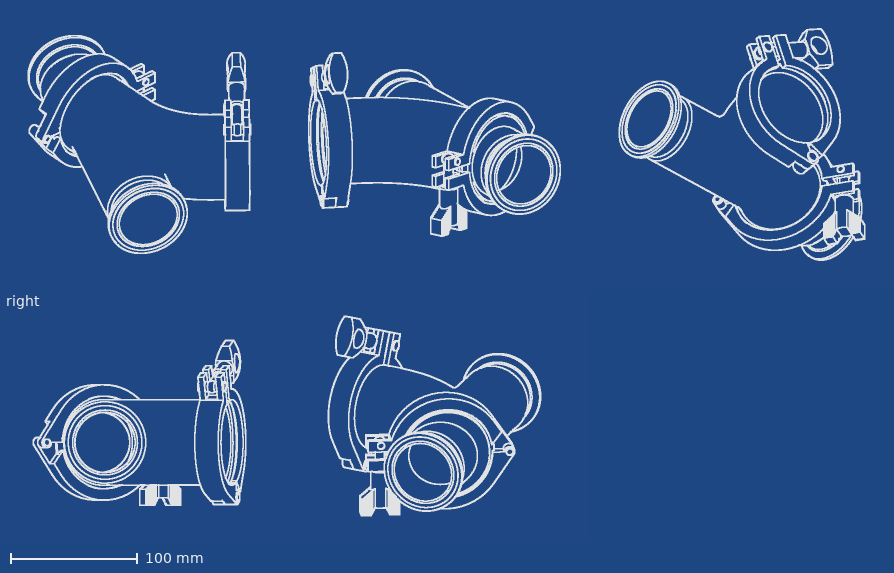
import cadquery as cq
import math


overall_length = 216.8
outlet_shift = 4.3
tube_radius = 27.8
neck_radius = 50.7 / 2
bore_radius = 47.5 / 2

rim_radius = 32.0
rim_width = 2.8
rim_taper_end = 4.8
neck_foot_radius = 26.5
neck_start = 5.9
neck_end = 17.8
tube_start = 20.0
seal_groove_radius = 27.3
seal_groove_round = 1.7

branch_angle = 24.5
elbow_sweep = 50.5
elbow_radius = 84.1
branch_radius = 67.5 / 2
branch_bore_radius = 64.0 / 2
joint_x = 59.0
joint_y = 0.5
branch_length = 46.5
exit_length = 21.5
outlet_start_x = 78.0
crotch_fillet = 6.5

flange_radius = 77.2 / 2
flange_rim_width = 2.5
flange_foot_width = 4.8

mitre_x = 45.0
mitre_angle = 18.0
reducer_radius = 68.5 / 2
reducer_end = 8.7

half_gap = 3.5
slot_width = 9.5
slot_inset = 1.0
eye_diameter = 9.5
bolt_offset = 8.7
shank_length = 34.7
pin_overhang = 1.0
barrel_chamfer = 1.5

wing_span = 30.4
wing_thickness = 11.7
wing_top = 27.5
wing_shoulder = 36.9
wing_bottom = 49.6
wing_barrel_radius = 7.2
wing_barrel_end = 43.5
wing_root = 4.3
wing_notch = 7.5
rib_count = 6
rib_pitch = 1.5
rib_groove = 0.5
first_rib = 6.3

knob_length = 31.2
knob_thickness = 14.7
knob_edge = 6.5
knob_end = 54.5
knob_full = 41.0
knob_neck = 32.7
knob_barrel_radius = 6.3
knob_hole_diameter = 15.0
knob_hole_y = 44.2

joint_clamp = {
    "outer": 45.5,
    "lip": 73.0 / 2,
    "width": 17.0,
    "hinge_x": 50.0,
    "knuckle": 4.1,
    "stop_line": [(-35.5, 5.6), (-46.8, 20.8)],
    "ear_end": 62.0,
    "ear_top": 12.5,
    "pin": 5.5,
    "bolt_x": 52.0,
    "shank": 7.2,
}
exit_clamp = {
    "outer": 42.3,
    "lip": branch_radius,
    "width": 19.0,
    "hinge_x": 46.0,
    "knuckle": 5.9,
    "stop_line": [(-35.1, 2.8), (-49.2, 13.2)],
    "ear_end": 59.8,
    "ear_top": 13.0,
    "pin": 8.0,
    "bolt_x": 50.0,
    "shank": 7.5,
}
exit_roll = 20.4


def direction(angle):
    """Horizontal unit vector at an angle from +X, in degrees."""
    return cq.Vector(math.cos(math.radians(angle)), math.sin(math.radians(angle)), 0)


def section_plane(centre, angle):
    """Plane square to a horizontal axis; local x points left of the axis and local y points up."""
    return cq.Plane(origin=centre, xDir=direction(angle + 90), normal=direction(angle))


exit_angle = branch_angle + elbow_sweep
joint_centre = cq.Vector(joint_x, joint_y, 0)
elbow_start = joint_centre + direction(branch_angle) * branch_length
elbow_centre = elbow_start + direction(branch_angle + 90) * elbow_radius
elbow_end = elbow_centre - direction(exit_angle + 90) * elbow_radius
exit_centre = elbow_end + direction(exit_angle) * exit_length




def ferrule_tube(length):
    """Solid ferrule and tube along +X, with the ferrule face at X = 0."""
    profile = [
        (0, 0),
        (0, rim_radius),
        (rim_width, rim_radius),
        (rim_taper_end, neck_foot_radius),
        (neck_start, neck_radius),
        (neck_end, neck_radius),
        (tube_start, tube_radius),
        (length, tube_radius),
        (length, 0),
    ]
    return cq.Workplane("XY").polyline(profile).close().revolve(360, (0, 0), (1, 0))


def ferrule_void(length):
    """Straight bore of a ferrule and its tube, with a half-round seal groove in the ferrule face."""
    bore = cq.Workplane("YZ").circle(bore_radius).extrude(length)
    seal = cq.Solid.makeTorus(seal_groove_radius, seal_groove_round, cq.Vector(0, 0, 0), cq.Vector(1, 0, 0))
    return bore.union(cq.Workplane(seal))


def at_outlet(shape):
    """Turn an inlet-end shape round to face +X on the outlet axis."""
    return shape.rotate((0, 0, 0), (0, 0, 1), 180).translate((overall_length, outlet_shift, 0))


def branch_pipe(radius):
    """Solid branch: straight, elbow, straight."""
    first = cq.Workplane(section_plane(joint_centre, branch_angle)).circle(radius).extrude(branch_length)
    elbow = cq.Workplane(section_plane(elbow_start, branch_angle)).circle(radius)
    elbow = elbow.revolve(elbow_sweep, (elbow_radius, 0), (elbow_radius, 1))
    last = cq.Workplane(section_plane(elbow_end, exit_angle)).circle(radius).extrude(exit_length)
    return first.union(elbow).union(last)


def flange(centre, angle, foot_radius):
    """Flange with its face at the centre, tapering to its foot in the direction of the angle."""
    profile = [
        (0, 0),
        (flange_radius, 0),
        (flange_radius, flange_rim_width),
        (foot_radius, flange_foot_width),
        (0, flange_foot_width),
    ]
    plane = cq.Plane(origin=centre, xDir=(0, 0, 1), normal=direction(angle + 90))
    return cq.Workplane(plane).polyline(profile).close().revolve(360, (0, 0), (0, 1))


def make_housing():
    """Branch and outlet tube blended together, hollow, with a flange at each end of the branch."""
    outlet_length = overall_length - outlet_start_x
    housing = branch_pipe(branch_radius).union(at_outlet(ferrule_tube(outlet_length)))
    housing = housing.edges("%BSPLINE").fillet(crotch_fillet)
    housing = housing.union(flange(joint_centre, branch_angle, branch_radius))
    housing = housing.union(flange(exit_centre, exit_angle + 180, branch_radius))
    return housing.cut(branch_pipe(branch_bore_radius)).cut(at_outlet(ferrule_void(outlet_length)))


def mitre_plane():
    return section_plane((mitre_x, 0, 0), mitre_angle)


def mitred(tube):
    """Cut away the part of a tube beyond the mitre."""
    size = 2 * overall_length
    return tube.cut(cq.Workplane(mitre_plane()).rect(size, size).extrude(size))


def reducer(tube, joint):
    """Solid loft from the mitred tube's ellipse to a round joint, given the two radii."""
    joint_plane = section_plane(joint_centre - direction(branch_angle) * reducer_end, branch_angle)
    ellipse = cq.Workplane(mitre_plane()).ellipse(tube / math.cos(math.radians(mitre_angle)), tube)
    circle = cq.Workplane(joint_plane).circle(joint)
    loft = cq.Solid.makeLoft([ellipse.wire().val(), circle.wire().val()], True)
    return cq.Workplane(joint_plane).circle(joint).extrude(reducer_end).union(cq.Workplane(loft))


def make_inlet():
    """Ferrule and tube, mitred into a reducer that ends in the joint flange."""
    inlet = mitred(ferrule_tube(joint_x)).union(reducer(tube_radius, reducer_radius))
    inlet = inlet.union(flange(joint_centre, branch_angle + 180, reducer_radius))
    return inlet.cut(mitred(ferrule_void(joint_x))).cut(reducer(bore_radius, branch_bore_radius))




def centred(sketch, thickness):
    """Extrude an XY sketch to a thickness centred on z = 0."""
    return sketch.extrude(thickness / 2, both=True)


def clamp_cavity(clamp):
    """Inside of the clamp, with the tapered groove that grips the flange pair."""
    lip = clamp["lip"]
    side = clamp["width"] / 2
    profile = [
        (0, -side),
        (lip, -side),
        (lip, -flange_foot_width),
        (flange_radius, -flange_rim_width),
        (flange_radius, flange_rim_width),
        (lip, flange_foot_width),
        (lip, side),
        (0, side),
    ]
    return cq.Workplane("XZ").polyline(profile).close().revolve(360, (0, 0), (0, 1))


def hinge_arm(clamp):
    """Arm that leaves the ring along a tangent and ends in the round hinge knuckle."""
    outer, hinge_x, knuckle = clamp["outer"], clamp["hinge_x"], clamp["knuckle"]
    along = (outer - knuckle) / hinge_x
    across = math.sqrt(1 - along**2)
    outline = [
        (-clamp["lip"], 0),
        (-outer * along, outer * across),
        (-hinge_x - knuckle * along, knuckle * across),
        (-hinge_x, 0),
    ]
    arm = centred(cq.Workplane("XY").polyline(outline).close(), clamp["width"])
    return arm.union(centred(cq.Workplane("XY").center(-hinge_x, 0).circle(knuckle), clamp["width"]))


def hinge_stop(clamp):
    """Space that the other half's arm takes on the -z side of the hinge."""
    inner, outer = clamp["stop_line"]
    beyond = -2 * clamp["outer"]
    below = -clamp["knuckle"] - half_gap
    outline = [inner, outer, (beyond, outer[1]), (beyond, below), (inner[0], below)]
    return cq.Workplane("XY").polyline(outline).close().extrude(-clamp["width"])


def clamp_half(clamp):
    """Clamp half on the +y side, with its hinge arm on the +z side."""
    outer, width = clamp["outer"], clamp["width"]
    half_space = cq.Workplane("XY").box(2 * outer, outer, width).translate((0, half_gap + outer / 2, 0))
    ring = centred(cq.Workplane("XY").circle(outer), width).intersect(half_space)
    ear_size = (clamp["ear_end"] - flange_radius, clamp["ear_top"] - half_gap, width)
    ear = cq.Workplane("XY").box(*ear_size, centered=(False, False, True))
    ear = ear.translate((flange_radius, half_gap, 0))
    slot = cq.Workplane("XY").box(outer, 2 * outer, slot_width, centered=(False, True, True))
    slot = slot.translate((outer - slot_inset, 0, 0))
    half = ring.union(hinge_arm(clamp)).cut(hinge_stop(clamp))
    return half.union(ear).cut(slot).cut(clamp_cavity(clamp))


def cross_pin(clamp, x, y):
    """Pin along z with both ends standing proud of the clamp."""
    return centred(cq.Workplane("XY").center(x, y).circle(clamp["pin"] / 2), clamp["width"] + 2 * pin_overhang)


def make_upper_half(clamp):
    """Half that carries the eye bolt, with holes for the bolt pin and the hinge pin."""
    half = clamp_half(clamp).cut(cross_pin(clamp, -clamp["hinge_x"], 0))
    return half.cut(cross_pin(clamp, clamp["bolt_x"], bolt_offset))


def make_lower_half(clamp):
    """Same half turned over, with the hinge pin fixed in its knuckle."""
    half = clamp_half(clamp).rotate((0, 0, 0), (1, 0, 0), 180)
    return half.union(cross_pin(clamp, -clamp["hinge_x"], 0))


def make_eye_bolt(clamp):
    """Round eye on its cross pin in the upper ear, with the shank along -y."""
    eye_centre = (clamp["bolt_x"], bolt_offset, 0)
    shank = cq.Workplane("XZ", origin=eye_centre).circle(clamp["shank"] / 2).extrude(shank_length)
    eye = cq.Workplane("XY").sphere(eye_diameter / 2).translate(eye_centre)
    return shank.union(eye).union(cross_pin(clamp, clamp["bolt_x"], bolt_offset))


def nut_barrel(clamp, radius, end):
    """Round barrel on the shank axis, from the lower ear down to y = -end."""
    start = cq.Workplane("XZ", origin=(0, -clamp["ear_top"], 0))
    return start.circle(radius).extrude(end - clamp["ear_top"]).faces(">Y").chamfer(barrel_chamfer)


def on_shank(nut, clamp):
    """Move a nut from the y axis to the shank and bore it to fit."""
    return nut.translate((clamp["bolt_x"], 0, 0)).cut(make_eye_bolt(clamp))


def wing():
    """Wing on the +x side, with grip grooves on both faces."""
    tip = wing_span / 2
    sketch = cq.Workplane("XY").moveTo(0, -wing_top).lineTo(wing_root, -wing_top)
    sketch = sketch.lineTo(tip, -wing_shoulder).lineTo(tip, -wing_bottom).lineTo(wing_notch, -wing_bottom)
    sketch = sketch.lineTo(wing_root, -wing_barrel_end).lineTo(0, -wing_barrel_end).close()
    plate = centred(sketch, wing_thickness)
    groove = cq.Workplane("XY").box(rib_groove, 2 * wing_bottom, 2 * rib_groove)
    for index in range(rib_count):
        for face in (-wing_thickness / 2, wing_thickness / 2):
            plate = plate.cut(groove.translate((first_rib + index * rib_pitch, 0, face)))
    return plate


def make_wing_nut(clamp):
    """Barrel with a ribbed wing on each side."""
    right_wing = wing()
    nut = right_wing.union(right_wing.mirror("YZ"))
    nut = nut.union(nut_barrel(clamp, wing_barrel_radius, wing_barrel_end))
    return on_shank(nut, clamp)


def make_knob(clamp):
    """Barrel with a lens-shaped grip that tapers to the barrel and has a hole through it."""
    tip = knob_length / 2
    edge = knob_edge / 2
    lens = cq.Workplane("XZ", origin=(0, -knob_neck, 0)).moveTo(-tip, -edge)
    lens = lens.threePointArc((0, -knob_thickness / 2), (tip, -edge)).lineTo(tip, edge)
    lens = lens.threePointArc((0, knob_thickness / 2), (-tip, edge)).close().extrude(knob_end - knob_neck)
    outline = [
        (-knob_barrel_radius, -knob_neck),
        (knob_barrel_radius, -knob_neck),
        (tip, -knob_full),
        (tip, -knob_end),
        (-tip, -knob_end),
        (-tip, -knob_full),
    ]
    grip = lens.intersect(centred(cq.Workplane("XY").polyline(outline).close(), knob_thickness))
    hole = centred(cq.Workplane("XY").center(0, -knob_hole_y).circle(knob_hole_diameter / 2), knob_thickness)
    nut = nut_barrel(clamp, knob_barrel_radius, knob_neck).union(grip.cut(hole))
    return on_shank(nut, clamp)




def placed(part, plane):
    return part.val().moved(cq.Location(plane))


def clamp_bodies(clamp, nut, plane):
    """The two halves, the eye bolt and the nut of one clamp, moved to its plane."""
    parts = [make_upper_half(clamp), make_lower_half(clamp), make_eye_bolt(clamp), nut]
    return [placed(part, plane) for part in parts]


joint_plane = section_plane(joint_centre, branch_angle)
roll = math.radians(exit_roll)
exit_ear_direction = direction(exit_angle - 90) * math.sin(roll) + cq.Vector(0, 0, 1) * math.cos(roll)
exit_plane = cq.Plane(origin=exit_centre, xDir=exit_ear_direction, normal=direction(exit_angle))

housing = make_housing()
inlet = make_inlet()
joint_clamp_bodies = clamp_bodies(joint_clamp, make_wing_nut(joint_clamp), joint_plane)
exit_clamp_bodies = clamp_bodies(exit_clamp, make_knob(exit_clamp), exit_plane)

result = cq.Compound.makeCompound([housing.val(), inlet.val(), *joint_clamp_bodies, *exit_clamp_bodies])